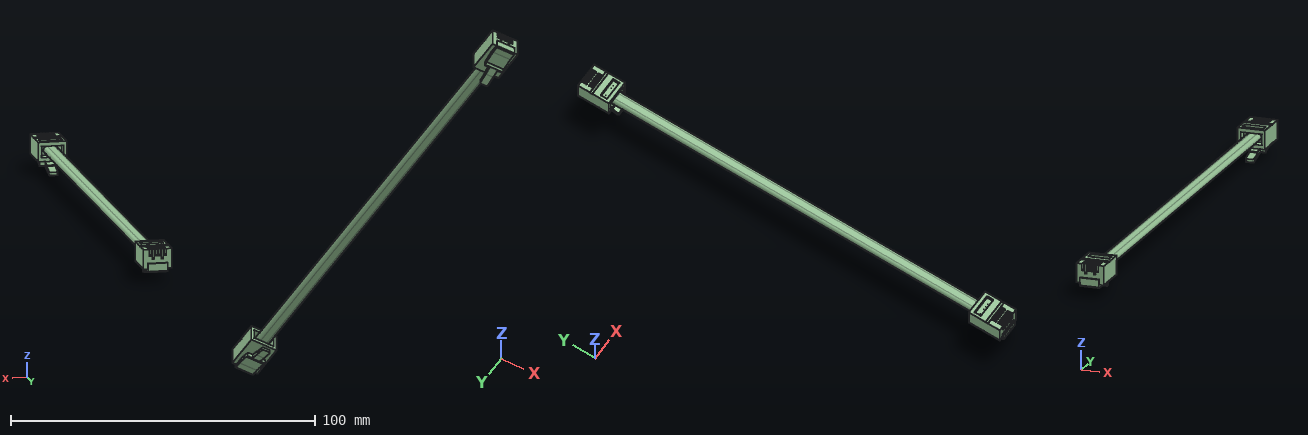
import cadquery as cq

overall_length = 168.45
overall_height = 11.03
nose_overhang = 0.6
half_length = overall_length / 2

housing_width = 9.63
housing_length = 12.3
housing_height = 6.6
housing_front = half_length - nose_overhang
housing_back = housing_front - housing_length

cable_width = 4.9
cable_thickness = 2.6
cable_axis_depth = 3.4
cable_insertion = 6.0
cable_end = housing_back + cable_insertion

slot_count = 6
slot_pitch = 1.02
slot_width = 0.6
slot_length = 4.75
slot_depth = 2.3
deep_slot_depth = 3.3
deep_slots = (1, 4)

bar_start = 2.1
bar_length = 0.9
bar_height = 0.5

groove_length = 0.95
groove_depth = 0.15

pocket_width = 7.4
pocket_length = 2.55
pocket_depth = 1.0
pocket_back_wall = 1.5

entry_width = 7.4
entry_depth = 3.0
entry_top = 1.4
entry_bottom = 5.2

latch_width = 6.6
latch_half_width = latch_width / 2
nose_top = 4.7
nose_bottom = 7.7
nose_chamfer = 0.4
lever_width = 2.9
lever_start = 7.5
lever_end = housing_length + 1.6
tip_corner_radius = 0.5
tip_top = 9.9

hinge_top_start = 4.0
hinge_bottom_start = 2.2
hinge_end = 6.4
hinge_end_bottom = 8.6

shoulder_start = 7.2
shoulder_start_bottom = 9.2
shoulder_end = 10.0
shoulder_end_bottom = 10.0
shoulder_end_top = 8.4
shoulder_step = 0.35


def block(width, start, end, bottom, top):
    """Box centred on X, between two distances behind the housing front and two depths."""
    return (
        cq.Workplane("XY")
        .box(width, end - start, bottom - top, centered=(True, False, False))
        .translate((0, housing_front - end, -bottom))
    )


def make_cable():
    return (
        cq.Workplane("XZ", origin=(0, cable_end, -cable_axis_depth))
        .slot2D(cable_width, cable_thickness)
        .extrude(2 * cable_end)
    )


def cut_contact_slots(plug):
    bar = block(housing_width, bar_start, bar_start + bar_length, bar_height, 0)
    for index in range(slot_count):
        x = (index - (slot_count - 1) / 2) * slot_pitch
        depth = deep_slot_depth if index in deep_slots else slot_depth
        slot = block(slot_width, 0, slot_length, depth, 0).translate((x, 0, 0))
        plug = plug.cut(slot.cut(bar))
    return plug


def cut_groove(plug):
    return plug.cut(block(housing_width, slot_length, slot_length + groove_length, groove_depth, 0))


def cut_pocket(plug):
    end = housing_length - pocket_back_wall
    return plug.cut(block(pocket_width, end - pocket_length, end, pocket_depth, 0))


def cut_cable_entry(plug):
    start = housing_length - entry_depth
    return plug.cut(block(entry_width, start, housing_length, entry_bottom, entry_top))


def make_latch():
    side_profile = [
        (-nose_overhang, nose_top),
        (0, nose_top),
        (0, housing_height),
        (hinge_top_start, housing_height),
        (shoulder_end, shoulder_end_top),
        (shoulder_end, shoulder_end_top + shoulder_step),
        (lever_end, tip_top),
        (lever_end, overall_height),
        (shoulder_end, shoulder_end_bottom),
        (shoulder_start, shoulder_start_bottom),
        (hinge_end, hinge_end_bottom),
        (hinge_bottom_start, nose_bottom),
        (nose_chamfer - nose_overhang, nose_bottom),
        (-nose_overhang, nose_bottom - nose_chamfer),
    ]
    points = [(housing_front - distance, -depth) for distance, depth in side_profile]
    blank = cq.Workplane("YZ").polyline(points).close().extrude(latch_half_width, both=True)
    wide_part = block(latch_width, -nose_overhang, lever_start, overall_height, nose_top)
    lever = block(lever_width, lever_start, lever_end, overall_height, nose_top)
    rounded_lever = lever.edges("|Z and <Y").fillet(tip_corner_radius)
    return blank.intersect(wide_part.union(rounded_lever))


def make_plug(cable):
    plug = block(housing_width, 0, housing_length, housing_height, 0)
    plug = cut_contact_slots(plug)
    plug = cut_groove(plug)
    plug = cut_pocket(plug)
    plug = cut_cable_entry(plug)
    return plug.union(make_latch()).cut(cable)


cable = make_cable()
plug = make_plug(cable)
plugs = [plug.rotate((0, 0, 0), (0, 0, 1), turn) for turn in (0, 180)]

result = cq.Compound.makeCompound([cable.val()] + [copy.val() for copy in plugs])